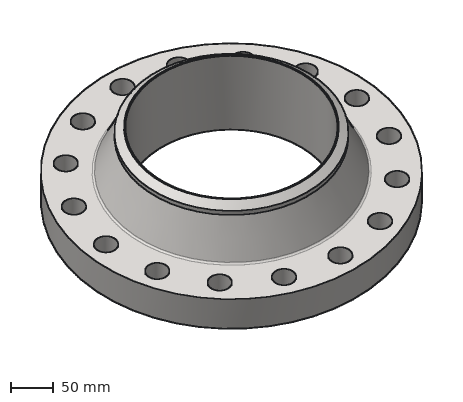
import cadquery as cq

flange_diameter = 444.5
flange_thickness = 46.5

total_height = 116.0
hub_base_diameter = 321.5
neck_diameter = 273.0
neck_base_height = 101.5
hub_fillet_radius = 3.0

bore_diameter = 247.0
land_width = 1.8
bevel_height = 8.0

bolt_count = 16
bolt_circle_diameter = 387.0
bolt_hole_diameter = 28.5


def flange_plate():
    """Flat disc resting on Z = 0."""
    return cq.Workplane("XY").circle(flange_diameter / 2).extrude(flange_thickness)


def tapered_hub():
    """Cone, short straight neck and weld bevel, as one revolved profile."""
    neck_radius = neck_diameter / 2
    land_radius = bore_diameter / 2 + land_width
    return (
        cq.Workplane("XZ")
        .moveTo(0, flange_thickness)
        .lineTo(hub_base_diameter / 2, flange_thickness)
        .lineTo(neck_radius, neck_base_height)
        .lineTo(neck_radius, total_height - bevel_height)
        .lineTo(land_radius, total_height)
        .lineTo(0, total_height)
        .close()
        .revolve(360, (0, 0), (0, 1))
    )


def round_hub_base(body):
    """Fillet the inside corner where the hub meets the flange plate."""
    overshoot = 0.5
    reach = hub_base_diameter / 2 + overshoot
    corner_zone = cq.selectors.BoxSelector(
        (-reach, -reach, flange_thickness - overshoot),
        (reach, reach, flange_thickness + overshoot),
        boundingbox=True,
    )
    return body.edges(corner_zone).fillet(hub_fillet_radius)


def bore():
    """Straight bore through the full height."""
    return cq.Workplane("XY").circle(bore_diameter / 2).extrude(total_height)


def bolt_holes():
    """Evenly spaced through holes, the first one on the +X axis."""
    return (
        cq.Workplane("XY")
        .polarArray(bolt_circle_diameter / 2, 0, 360, bolt_count)
        .circle(bolt_hole_diameter / 2)
        .extrude(flange_thickness)
    )


body = round_hub_base(flange_plate().union(tapered_hub()))
result = body.cut(bore()).cut(bolt_holes())